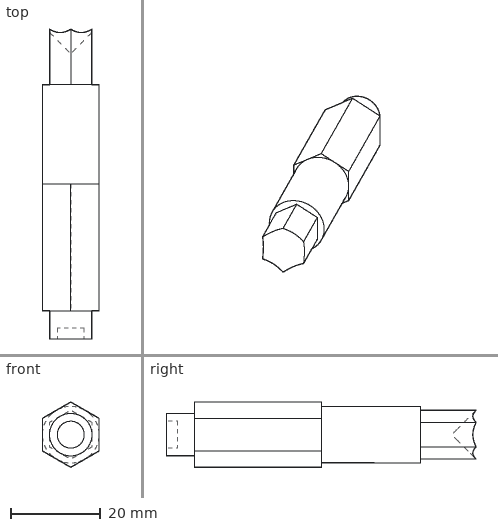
import cadquery as cq
import math

total_length = 69.2
spigot_length = 6.3
body_length = 28.4
collar_length = 22.15
drive_length = total_length - spigot_length - body_length - collar_length

body_across_flats = 12.7
collar_diameter = body_across_flats
drive_across_flats = 9.5
spigot_diameter = drive_across_flats

bore_diameter = 6.0
bore_depth = 2.5
recess_half_angle = 45.0


def corner_radius(across_flats):
    """Distance from the centre of a hexagon to its corners."""
    return across_flats / math.sqrt(3)


def section_plane(start):
    """Plane at Y = start whose normal points along +Y."""
    return cq.Workplane("XZ", origin=(0, start, 0)).workplane(invert=True)


def cylinder(diameter, start, length):
    return section_plane(start).circle(diameter / 2).extrude(length)


def hex_bar(across_flats, start, length):
    """Hexagonal bar with flats facing +X and -X and corners on +Z and -Z."""
    diameter = 2 * corner_radius(across_flats)
    return section_plane(start).transformed(rotate=(0, 0, 90)).polygon(6, diameter).extrude(length)


def end_recess():
    """Cone that reaches the hexagon corners at the end face, leaving scalloped flats."""
    radius = corner_radius(drive_across_flats)
    depth = radius / math.tan(math.radians(recess_half_angle))
    cone = cq.Solid.makeCone(
        radius, 0, depth, pnt=cq.Vector(0, total_length, 0), dir=cq.Vector(0, -1, 0)
    )
    return cq.Workplane(cone)


body_start = spigot_length
collar_start = body_start + body_length
drive_start = collar_start + collar_length

spigot = cylinder(spigot_diameter, 0, spigot_length)
body = hex_bar(body_across_flats, body_start, body_length)
collar = cylinder(collar_diameter, collar_start, collar_length)
drive = hex_bar(drive_across_flats, drive_start, drive_length)
bore = cylinder(bore_diameter, 0, bore_depth)

result = spigot.union(body).union(collar).union(drive).cut(bore).cut(end_recess())